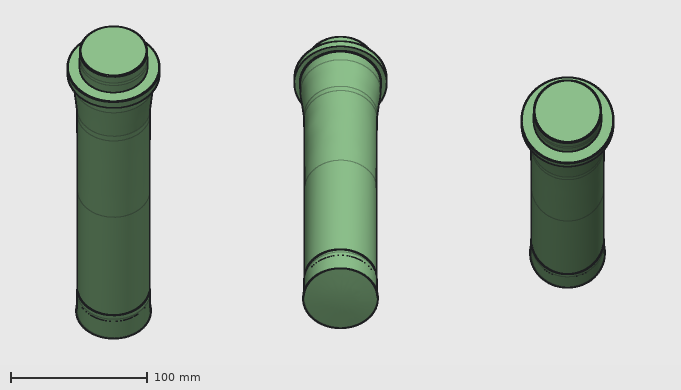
import cadquery as cq
import math

total_height = 289.0

spigot_top_diameter = 49.7
spigot_diameter = 50.0
flange_diameter = 68.0
collar_diameter = 59.0
grip_diameter = 53.8
tube_diameter = 53.2
plug_diameter = 52.0
cap_diameter = 53.8
rim_diameter = 55.2

rim_height = 1.7
socket_floor = 19.5
cap_taper_bottom = 22.8
cap_top = 26.3
tube_top = 135.2
grip_taper_top = 220.0
flare_bottom = 225.0
flare_top = 254.0
flange_bottom = 264.0
flange_top = 271.0
spigot_taper_bottom = 279.2
spigot_taper_top = 281.8

flange_chamfer = 0.5
flange_root_chamfer = 0.5
spigot_chamfer = 1.0


def revolve_about_z(profile):
    """Turn a closed half profile, drawn in the XZ plane, about the Z axis."""
    return profile.revolve(360, (0, 0, 0), (0, 1, 0))


def make_barrel():
    """Turned barrel: plug end, tube, tapered grip, flared collar, flange and spigot."""
    tube_radius = tube_diameter / 2
    plug_radius = plug_diameter / 2
    grip_radius = grip_diameter / 2
    collar_radius = collar_diameter / 2
    flange_radius = flange_diameter / 2
    spigot_radius = spigot_diameter / 2
    spigot_top_radius = spigot_top_diameter / 2

    return revolve_about_z(
        cq.Workplane("XZ")
        .moveTo(0, socket_floor)
        .lineTo(plug_radius, socket_floor)
        .lineTo(plug_radius, cap_top)
        .lineTo(tube_radius, cap_top)
        .lineTo(tube_radius, tube_top)
        .lineTo(grip_radius, grip_taper_top)
        .lineTo(grip_radius, flare_bottom)
        .lineTo(collar_radius, flare_top)
        .lineTo(collar_radius, flange_bottom - flange_root_chamfer)
        .lineTo(collar_radius + flange_root_chamfer, flange_bottom)
        .lineTo(flange_radius, flange_bottom)
        .lineTo(flange_radius, flange_top - flange_chamfer)
        .lineTo(flange_radius - flange_chamfer, flange_top)
        .lineTo(spigot_radius, flange_top)
        .lineTo(spigot_radius, spigot_taper_bottom)
        .lineTo(spigot_top_radius, spigot_taper_top)
        .lineTo(spigot_top_radius, total_height - spigot_chamfer)
        .lineTo(spigot_top_radius - spigot_chamfer, total_height)
        .lineTo(0, total_height)
        .close()
    )


def make_end_cap():
    """Thin-walled cap around the plug end, with a flared rim and a domed underside."""
    mouth_radius = tube_diameter / 2
    socket_radius = plug_diameter / 2
    cap_radius = cap_diameter / 2
    rim_radius = rim_diameter / 2

    flare_radius = rim_radius - cap_radius
    flare_mid_offset = flare_radius * (1 - math.sqrt(0.5))
    flare_middle = (cap_radius + flare_mid_offset, rim_height + flare_mid_offset)

    dome_sphere_radius = (rim_radius**2 + rim_height**2) / (2 * rim_height)
    dome_mid_x = rim_radius / 2
    dome_mid_z = dome_sphere_radius - math.sqrt(dome_sphere_radius**2 - dome_mid_x**2)

    return revolve_about_z(
        cq.Workplane("XZ")
        .moveTo(0, 0)
        .threePointArc((dome_mid_x, dome_mid_z), (rim_radius, rim_height))
        .threePointArc(flare_middle, (cap_radius, rim_height + flare_radius))
        .lineTo(cap_radius, cap_taper_bottom)
        .lineTo(mouth_radius, cap_top)
        .lineTo(socket_radius, cap_top)
        .lineTo(socket_radius, socket_floor)
        .lineTo(0, socket_floor)
        .close()
    )


barrel = make_barrel()
end_cap = make_end_cap()

result = cq.Compound.makeCompound([barrel.val(), end_cap.val()])